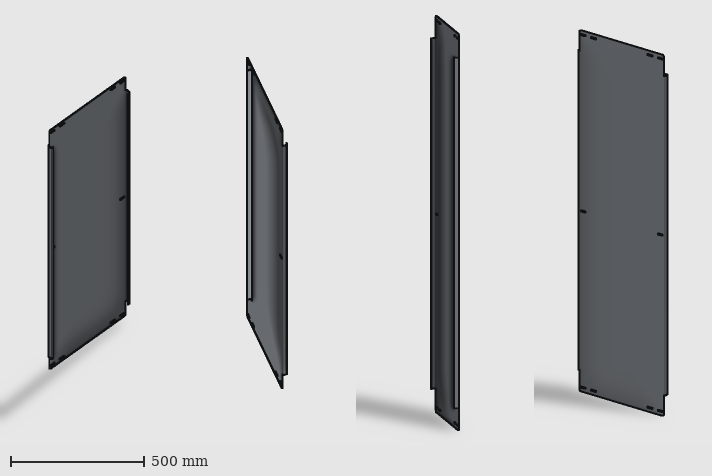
import cadquery as cq

height = 1517.0
width = 395.0
depth = 20.0
sheet = 2.0
bend_radius = 4.0

flange_end_gap = 88.0
lip_length = 10.0
tab_width = 382.0
corner_radius = 9.0
flange_height = height - 2 * flange_end_gap

slot_height = 5.0
end_slot_z = height / 2 - 18.0
outer_slot_y = 175.0
outer_slot_length = 21.0
inner_slot_y = 127.0
inner_slot_length = 25.0


def flat_sheet(size_y, size_z):
    """Flat sheet with its outer face at the front of the panel."""
    return cq.Workplane("XY").box(sheet, size_y, size_z).translate(((sheet - depth) / 2, 0, 0))


def make_folded_sheet():
    """C-shaped section with two returned lips, extruded along Z."""
    lip_edge = width / 2 - lip_length
    outer = cq.Workplane("XY").box(depth, width, flange_height).edges("|Z").fillet(bend_radius)
    inner = (
        cq.Workplane("XY")
        .box(depth - 2 * sheet, width - 2 * sheet, flange_height)
        .edges("|Z")
        .fillet(bend_radius - sheet)
    )
    lip_opening = (
        cq.Workplane("XY").box(depth, 2 * lip_edge, flange_height).translate((depth / 2, 0, 0))
    )
    return outer.cut(inner).cut(lip_opening)


def slot_cutter(y, z, length):
    """Rounded slot, long along Y, through the flat sheet."""
    return (
        cq.Workplane("YZ", origin=(-depth, 0, 0))
        .center(y, z)
        .slot2D(length, slot_height)
        .extrude(depth)
    )


def make_end_tabs():
    """Flat sheet beyond both ends of the flanges."""
    full_sheet = flat_sheet(tab_width, height).edges("|X").fillet(corner_radius)
    return full_sheet.cut(flat_sheet(tab_width, flange_height))


panel = make_folded_sheet().union(make_end_tabs())

for side in (-1, 1):
    for z in (-end_slot_z, 0, end_slot_z):
        panel = panel.cut(slot_cutter(side * outer_slot_y, z, outer_slot_length))
    for z in (-end_slot_z, end_slot_z):
        panel = panel.cut(slot_cutter(side * inner_slot_y, z, inner_slot_length))

result = panel